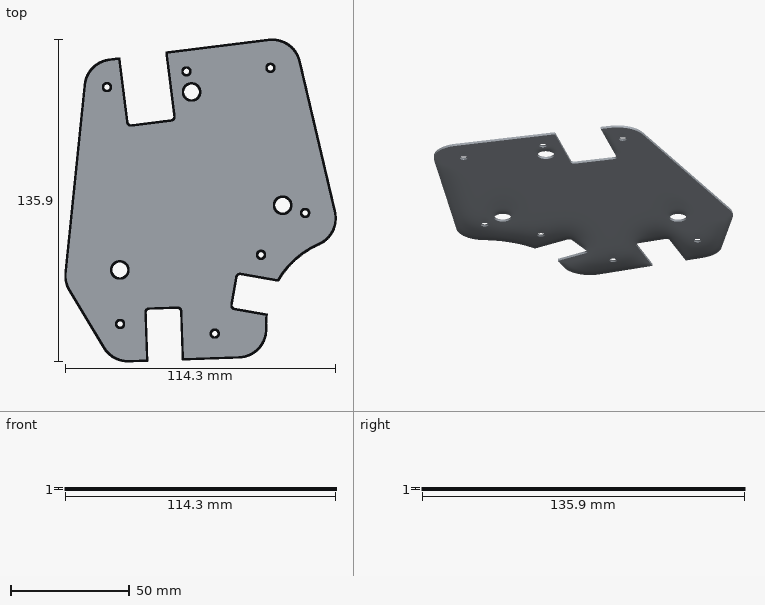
import cadquery as cq

thickness = 1.0

upper_left = (-48.2, 58.5)
upper_right = (39.1, 69.3)
lower_right = (70.5, -64.3)
bottom_left = (-37.5, -68.1)
left = (-57.8, -34.4)
corner_radius = 12.0

cutout_center = (64.3, -52.2)
cutout_radius = 36.8

notch_corner_radius = 1.5
notch_length = 32.6
notches = [
    ((-21.0, 32.9), 20.0, 97.2),
    ((-16.0, -45.4), 15.0, -88.0),
    ((13.9, -38.0), 15.0, -10.0),
]

small_hole_diameter = 3.3
small_hole_centers = [
    (29.2, 56.1),
    (-6.3, 54.6),
    (-39.8, 48.0),
    (43.9, -5.2),
    (25.3, -22.8),
    (-34.2, -52.0),
    (5.7, -56.1),
]
large_hole_diameter = 7.2
large_hole_centers = [(-4.1, 45.9), (34.4, -1.9), (-34.4, -29.2)]


def cylinders(centers, diameter):
    """Upright cylinders through the plate thickness."""
    return cq.Workplane("XY").pushPoints(centers).circle(diameter / 2).extrude(thickness)


def rounded_plate():
    """Plate with the concave cut-out and all outer corners rounded."""
    blank = (
        cq.Workplane("XY")
        .polyline([upper_left, upper_right, lower_right, bottom_left, left])
        .close()
        .extrude(thickness)
    )
    plate = blank.cut(cylinders([cutout_center], 2 * cutout_radius))
    return plate.edges("|Z").fillet(corner_radius)


def notch_cutter(floor_middle, width, direction):
    """Block running outward from the notch floor, with rounded floor corners."""
    return (
        cq.Workplane("XY")
        .box(notch_length, width, thickness, centered=(False, True, False))
        .edges("|Z and <X")
        .fillet(notch_corner_radius)
        .rotate((0, 0, 0), (0, 0, 1), direction)
        .translate((*floor_middle, 0))
    )


result = rounded_plate()
for floor_middle, width, direction in notches:
    result = result.cut(notch_cutter(floor_middle, width, direction))
result = result.cut(cylinders(small_hole_centers, small_hole_diameter))
result = result.cut(cylinders(large_hole_centers, large_hole_diameter))